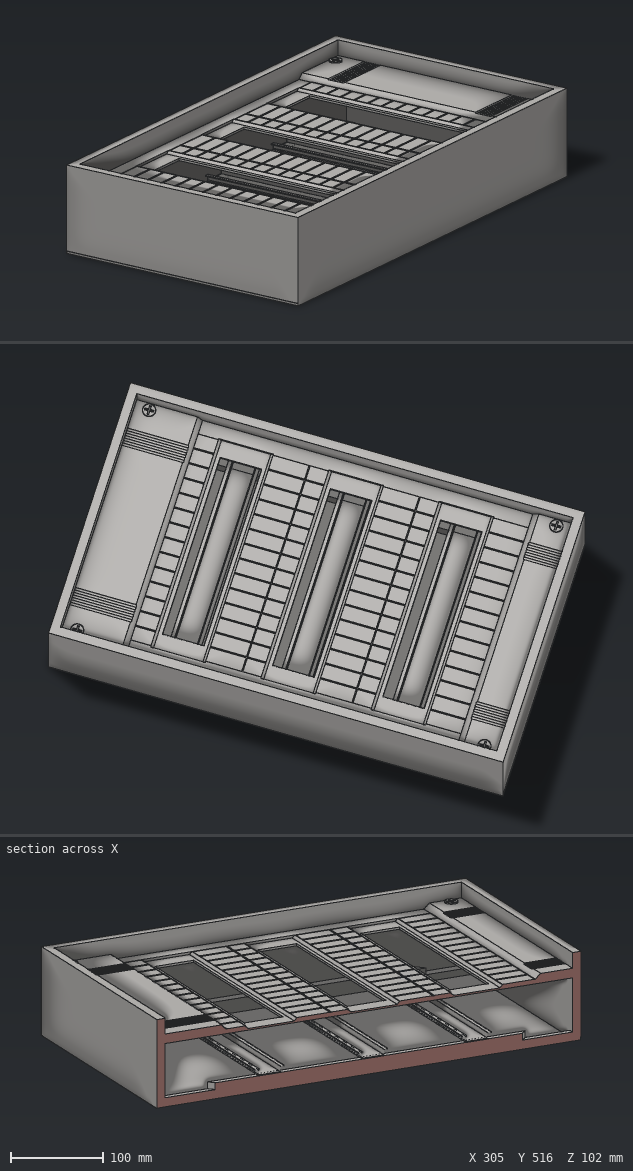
import cadquery as cq

BOX_X = 305.0
BOX_Y = 516.0
BOX_Z = 102.0
RIM = 10.5
BASE_STEP_Z = 3.0
BASE_STEP_SETBACK = 0.4
OPENING_X = BOX_X - 2 * RIM
OPENING_Y = BOX_Y - 2 * RIM

COVER_THICKNESS = 2.5
PANEL_Z = 84.0
COVER_Z = 78.0
FRAME_Z = 75.0
UPPER_PANEL_EDGE = 172.8
UPPER_SLOPE = 5.8
LOWER_PANEL_EDGE = -201.8
LOWER_SLOPE = 7.0

ROWS = 3
ROW_PITCH = 125.0
MIDDLE_ROW_Y = -6.2
FRAME_X = 253.5
FRAME_Y = 62.0
FRAME_SLOPE = 3.0
WINDOW_X = 215.0
WINDOW_Y = 47.0
ROW_YS = [MIDDLE_ROW_Y + (1 - row) * ROW_PITCH for row in range(ROWS)]

MODULES = 14
MODULE_PITCH = 18.0
PAD_GAP = 1.3
PAD_HEIGHT = 0.5
PAD_SPLIT_OFFSET = -72.5

GRIP_FLUTES = 7
FLUTE_WIDTH = 3.0
FLUTE_DEPTH = 1.0
GRIP_X = 97.0

SCREW_X = 133.9
SCREW_Y = 231.0
SCREW_RADIUS = 7.2
SCREW_HEIGHT = 1.5
CROSS_LENGTH = 10.0
CROSS_WIDTH = 1.8

FLOOR_Z = 3.0
LEDGE_Z = 18.8
CAVITY_X = 262.0
LEDGE_WIDTH = 11.6
LEDGE_END_Y = 193.0
LOW_SHELF_Z = 11.0
POCKET_X = CAVITY_X - 2 * LEDGE_WIDTH

RAIL_WIDTH = 35.0
RAIL_INNER = 27.0
RAIL_HEIGHT = 7.5
RAIL_THICKNESS = 1.0
RAIL_PITCH = 126.0
MIDDLE_RAIL_Y = -5.4


def block(x_size, y_size, z_low, z_high, x=0.0, y=0.0):
    """Box centred on (x, y) between two heights."""
    plane = cq.Workplane("XY", origin=(x, y, z_low))
    return plane.rect(x_size, y_size).extrude(z_high - z_low)


def along_x(points, length):
    """Prism along X, centred on X = 0, from an outline of (y, z) points."""
    return cq.Workplane("YZ").polyline(points).close().extrude(length / 2, both=True)


def front_recess():
    """Space in front of the cover, down to the end panels and the middle field."""
    half_y = OPENING_Y / 2
    outline = [
        (half_y, BOX_Z),
        (half_y, PANEL_Z),
        (UPPER_PANEL_EDGE + UPPER_SLOPE, PANEL_Z),
        (UPPER_PANEL_EDGE, COVER_Z),
        (LOWER_PANEL_EDGE, COVER_Z),
        (LOWER_PANEL_EDGE - LOWER_SLOPE, PANEL_Z),
        (-half_y, PANEL_Z),
        (-half_y, BOX_Z),
    ]
    return along_x(outline, OPENING_X)


def rear_cavity():
    """Space behind the cover, with ledges for the rails and low shelves at the corners."""
    cavity = block(CAVITY_X, OPENING_Y, LEDGE_Z, FRAME_Z - COVER_THICKNESS)
    pocket = block(POCKET_X, OPENING_Y, FLOOR_Z, LEDGE_Z)
    cavity = cavity.union(pocket)
    cut_end_y = LEDGE_END_Y - LEDGE_WIDTH
    for end in (-1, 1):
        outline = [
            (POCKET_X / 2, end * LEDGE_END_Y),
            (CAVITY_X / 2, end * cut_end_y),
            (CAVITY_X / 2, end * OPENING_Y / 2),
            (-CAVITY_X / 2, end * OPENING_Y / 2),
            (-CAVITY_X / 2, end * cut_end_y),
            (-POCKET_X / 2, end * LEDGE_END_Y),
        ]
        corners = cq.Workplane("XY", origin=(0, 0, LOW_SHELF_Z)).polyline(outline).close()
        cavity = cavity.union(corners.extrude(LEDGE_Z - LOW_SHELF_Z))
    return cavity


def pad_bands():
    """(low, high) Y limits of the bands of pads between slopes and frames."""
    bands = []
    high = UPPER_PANEL_EDGE
    for row_y in ROW_YS:
        bands.append((row_y + FRAME_Y / 2, high))
        high = row_y - FRAME_Y / 2
        if row_y != ROW_YS[-1]:
            split = row_y + PAD_SPLIT_OFFSET
            bands.append((split + PAD_GAP / 2, high))
            high = split - PAD_GAP / 2
    bands.append((LOWER_PANEL_EDGE, high))
    return bands


def pads():
    """Raised break-out pads, one column per module."""
    pad_x = MODULE_PITCH - PAD_GAP
    all_pads = cq.Workplane("XY")
    for low, high in pad_bands():
        centres = [
            ((column - (MODULES - 1) / 2) * MODULE_PITCH, (low + high) / 2)
            for column in range(MODULES)
        ]
        band = cq.Workplane("XY", origin=(0, 0, COVER_Z)).pushPoints(centres)
        all_pads = all_pads.add(band.rect(pad_x, high - low).extrude(PAD_HEIGHT))
    return all_pads


def frame_recess(row_y):
    """Shallow recess around a window, with sloped long edges."""
    outer = FRAME_Y / 2
    inner = outer - FRAME_SLOPE
    outline = [
        (row_y + outer, COVER_Z),
        (row_y + inner, FRAME_Z),
        (row_y - inner, FRAME_Z),
        (row_y - outer, COVER_Z),
    ]
    return along_x(outline, FRAME_X)


def window(row_y):
    """Opening through the cover in front of one rail."""
    return block(WINDOW_X, WINDOW_Y, FRAME_Z - COVER_THICKNESS, FRAME_Z, y=row_y)


def grip_flutes(x):
    """Side-by-side round flutes along Y, cut into both end panels."""
    start = x - GRIP_FLUTES * FLUTE_WIDTH / 2
    end = start + GRIP_FLUTES * FLUTE_WIDTH
    outline = cq.Workplane("XZ").moveTo(end, PANEL_Z).lineTo(end, BOX_Z).lineTo(start, BOX_Z)
    outline = outline.lineTo(start, PANEL_Z)
    for flute in range(GRIP_FLUTES):
        left = start + flute * FLUTE_WIDTH
        outline = outline.threePointArc(
            (left + FLUTE_WIDTH / 2, PANEL_Z - FLUTE_DEPTH), (left + FLUTE_WIDTH, PANEL_Z)
        )
    return outline.close().extrude(OPENING_Y / 2, both=True)


def screw_head(x, y):
    """Flat screw head with a cross recess down to the panel."""
    top = PANEL_Z + SCREW_HEIGHT
    head = cq.Workplane("XY", origin=(x, y, PANEL_Z)).circle(SCREW_RADIUS).extrude(SCREW_HEIGHT)
    head = head.cut(block(CROSS_LENGTH, CROSS_WIDTH, PANEL_Z, top, x, y))
    return head.cut(block(CROSS_WIDTH, CROSS_LENGTH, PANEL_Z, top, x, y))


def make_housing():
    """Box and front cover in one piece."""
    housing = block(BOX_X, BOX_Y, 0, BOX_Z)
    foot_y = -BOX_Y / 2 + BASE_STEP_SETBACK / 2
    housing = housing.cut(block(BOX_X, BASE_STEP_SETBACK, 0, BASE_STEP_Z, y=foot_y))
    housing = housing.cut(front_recess()).cut(rear_cavity())
    for pad in pads().vals():
        housing = housing.union(cq.Workplane(pad))
    for row_y in ROW_YS:
        housing = housing.cut(frame_recess(row_y)).cut(window(row_y))
    for side in (-1, 1):
        housing = housing.cut(grip_flutes(side * GRIP_X))
        for end in (-1, 1):
            housing = housing.union(screw_head(side * SCREW_X, end * SCREW_Y))
    return housing


def make_rail(rail_y):
    """Top-hat rail lying on the side ledges, flanges towards the front."""
    flange_top = LEDGE_Z + RAIL_HEIGHT
    rail = block(CAVITY_X, RAIL_INNER, LEDGE_Z, flange_top, y=rail_y)
    flange_bottom = flange_top - RAIL_THICKNESS
    rail = rail.union(block(CAVITY_X, RAIL_WIDTH, flange_bottom, flange_top, y=rail_y))
    channel_y = RAIL_INNER - 2 * RAIL_THICKNESS
    return rail.cut(block(CAVITY_X, channel_y, LEDGE_Z + RAIL_THICKNESS, flange_top, y=rail_y))


housing = make_housing()
rails = [make_rail(MIDDLE_RAIL_Y + (1 - row) * RAIL_PITCH) for row in range(ROWS)]
result = cq.Compound.makeCompound([housing.val(), *[rail.val() for rail in rails]])